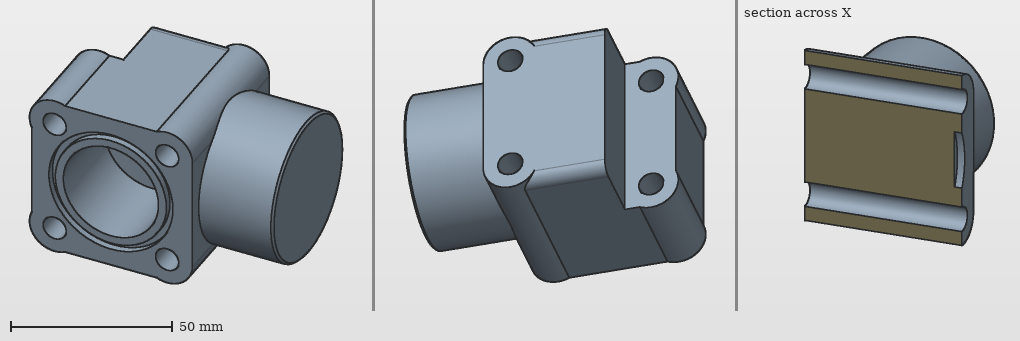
import cadquery as cq

body_half = 27.5
bolt_offset = 19.5
overall_height = 56.5
overall_length = 82.2
lobe_reach = overall_height / 2
lobe_radius = lobe_reach - bolt_offset
bolt_hole_diameter = 8.0
body_depth = 53.7
flange_depth = 31.0
step_x = -11.0
rear_edge_radius = 3.95

boss_radius = 24.7
boss_center_y = body_depth - boss_radius
boss_end_x = overall_length - lobe_reach
boss_chamfer = 0.7

bore_diameter = 33.0
groove_inner_diameter = 38.5
groove_outer_diameter = 43.0
groove_depth = 2.5


def block(x_min, x_max, y_max, half_height):
    """Box starting on the flange face, centred in Z."""
    return cq.Workplane("XY").box(
        x_max - x_min, y_max, 2 * half_height, centered=(False, False, True)
    ).translate((x_min, 0, 0))


def rod(x, z, diameter, length):
    """Cylinder running from the flange face toward +Y."""
    return cq.Workplane("XZ").center(x, z).circle(diameter / 2).extrude(-length)


def make_body():
    left_wall = block(-body_half, bolt_offset, flange_depth, bolt_offset)
    front_block = block(-bolt_offset, bolt_offset, flange_depth, body_half)
    rear_block = block(step_x, bolt_offset, body_depth, body_half)
    rear_block = rear_block.edges("|X and >Y").fillet(rear_edge_radius)
    right_wall = block(bolt_offset, lobe_reach, body_depth, bolt_offset)
    body = front_block.union(left_wall).union(rear_block).union(right_wall)
    for z in (-bolt_offset, bolt_offset):
        body = body.union(rod(-bolt_offset, z, 2 * lobe_radius, flange_depth))
        body = body.union(rod(bolt_offset, z, 2 * lobe_radius, body_depth))
    return body


def make_boss():
    boss = cq.Workplane("YZ").center(boss_center_y, 0).circle(boss_radius).extrude(boss_end_x)
    return boss.faces(">X").chamfer(boss_chamfer)


def make_bore():
    """Flat-bottomed bore ending level with the boss axis."""
    return rod(0, 0, bore_diameter, boss_center_y)


def make_groove():
    outer = rod(0, 0, groove_outer_diameter, groove_depth)
    return outer.cut(rod(0, 0, groove_inner_diameter, groove_depth))


result = make_body().union(make_boss()).cut(make_bore()).cut(make_groove())
for hole_x in (-bolt_offset, bolt_offset):
    for hole_z in (-bolt_offset, bolt_offset):
        result = result.cut(rod(hole_x, hole_z, bolt_hole_diameter, body_depth))